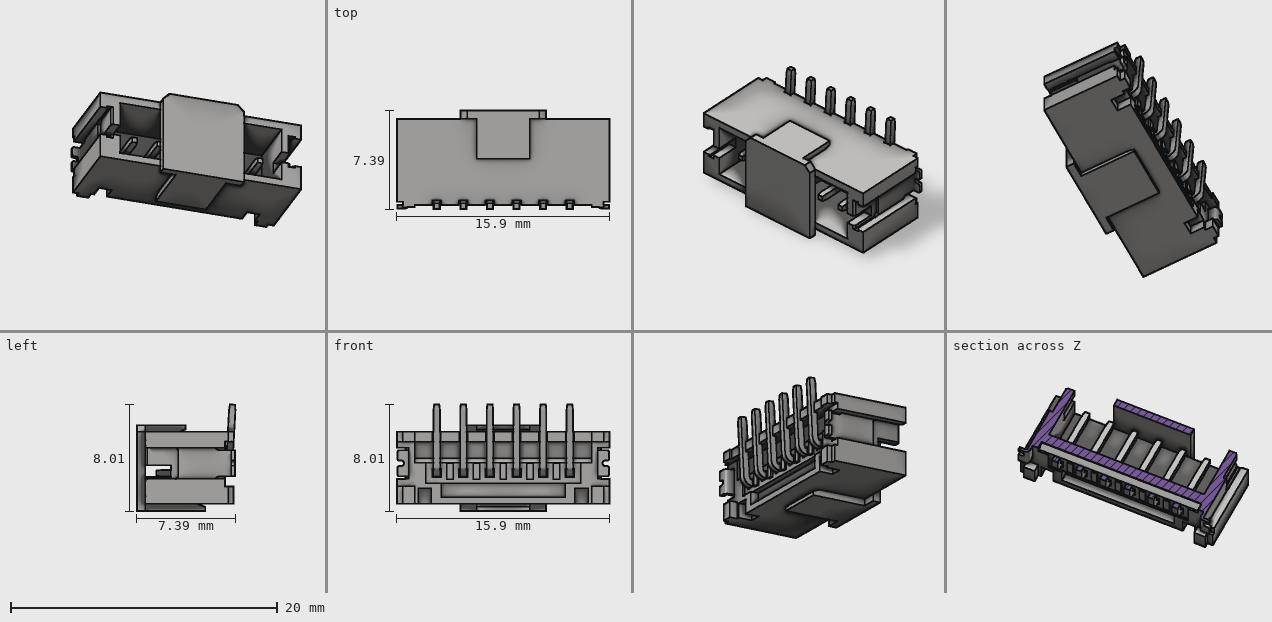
import cadquery as cq
import math


length = 15.95
height = 5.4
half_length = length / 2
front_y = -5.97
end_step_y = -6.2
lip_y = -6.46
block_y = -6.6
lip_bottom = 4.67
foot_top = 1.3
block_outer_x = 7.53
block_inner_x = 6.62

cavity_half_length = 6.41
cavity_depth = 4.47
cavity_bottom = 0.56
cavity_top = 4.78

channel_floor_x = 7.1
channel_bottom = 1.88
channel_top = 4.2
channel_lead_in = 0.15
groove_depth = 0.15
groove_bottom = channel_bottom - groove_depth
groove_top = channel_top + groove_depth
window_depth = 1.9
window_bottom = 2.03
window_top = 2.89

upper_recess_depth = 0.6
lower_recess_depth = 0.67
upper_recess_bottom = 3.08
upper_recess_ramp_top = 3.41
panel_half_length = 5.8
panel_bottom = 1.55
panel_depth = 0.16
lower_recess_half_length = 4.65
lower_recess_bottom = 0.5
notch_inner_x = 5.38
notch_outer_x = 6.38
notch_height = 1.16
notch_depth = 1.12
rib_width = 0.48
rib_bottom = 1.83
rib_top = 3.03
rib_depth = 0.15

pin_count = 6
pitch = 2.0
pin_size = 0.5
pin_axis_z = 2.3
pin_rear_y = -1.2
pin_tilt = math.radians(3.1)
pin_bend_radius = 0.48
leg_end_z = 7.05
leg_front_y = -6.75
leg_end_y = leg_front_y + pin_size / 2 * math.cos(pin_tilt)
tip_length = 0.4
tip_inset = 0.05
pocket_width = 0.67
pocket_bottom = 1.98
pocket_top = 2.63
pocket_depth = 0.24
relief_width = 0.64
relief_y = -6.11
relief_round = 0.11

cap_half_length = 3.2
cap_thickness = 0.64
cap_top = 5.9
cap_bottom = -0.55
cap_chamfer = cap_top - height
tongue_half_length = 2.0
tongue_end_thickness = 0.32
upper_tongue_end = -3.0
upper_ramp_start = -2.57
lower_tongue_end = -4.48
lower_ramp_start = -3.89

clip_thickness = 0.27
clip_inner_x = 7.07
clip_outer_x = clip_inner_x + clip_thickness
clip_rear_y = -2.45
clip_shoulder_y = -5.22
clip_neck_bottom = 2.05
clip_rear_barb = 0.29
clip_front_y = -6.71
clip_foot_x = 7.93
clip_inner_radius = 0.06
clip_corner_radius = 0.15
clip_notch_depth = 0.48
clip_notch_width = 0.4

pin_positions = [(i - (pin_count - 1) / 2) * pitch for i in range(pin_count)]
rib_positions = [x + pitch / 2 for x in pin_positions[:-1]]


def box(x0, x1, y0, y1, z0, z1):
    return cq.Workplane("XY").box(x1 - x0, y1 - y0, z1 - z0, centered=False).translate((x0, y0, z0))


def row_box(half_width, y0, y1, z0, z1):
    return box(-half_width, half_width, y0, y1, z0, z1)


def side_profile(points, half_width):
    """Prism with a (Y, Z) outline, centred on X = 0."""
    return cq.Workplane("YZ").polyline(points).close().extrude(half_width, both=True)


def plan_profile(points, z0, z1):
    """Prism with an (X, Y) outline between two heights."""
    return cq.Workplane("XY", origin=(0, 0, z0)).polyline(points).close().extrude(z1 - z0)


def both_ends(shape):
    return shape.union(shape.mirror("YZ"))


def housing_blank():
    body = row_box(half_length, front_y, 0, 0, height)
    body = body.union(row_box(block_inner_x, lip_y, front_y, lip_bottom, height))
    for z0, z1 in ((lip_bottom, height), (0, foot_top)):
        block = box(block_inner_x, block_outer_x, block_y, front_y, z0, z1)
        end_step = box(block_outer_x, half_length, end_step_y, front_y, z0, z1)
        body = body.union(both_ends(block.union(end_step)))
    return body


def side_channel():
    """Channel along the +X end with its clip grooves; both flare at the mating face."""
    lead_in_x = channel_floor_x - channel_lead_in
    channel_outline = [
        (half_length, front_y),
        (channel_floor_x, front_y),
        (channel_floor_x, -channel_lead_in),
        (lead_in_x, 0),
        (half_length, 0),
    ]
    groove_outline = [
        (clip_outer_x, clip_shoulder_y),
        (channel_floor_x, clip_shoulder_y),
        (channel_floor_x, -channel_lead_in),
        (lead_in_x, 0),
        (clip_outer_x + channel_lead_in, 0),
        (clip_outer_x, -channel_lead_in),
    ]
    channel = plan_profile(channel_outline, channel_bottom, channel_top)
    return channel.union(plan_profile(groove_outline, groove_bottom, groove_top))


def front_recesses():
    upper_back_y = front_y + upper_recess_depth
    lower_back_y = front_y + lower_recess_depth
    panel_y = front_y + panel_depth
    upper = side_profile(
        [
            (front_y, upper_recess_bottom),
            (front_y, lip_bottom),
            (upper_back_y, lip_bottom),
            (upper_back_y, upper_recess_ramp_top),
            (panel_y, upper_recess_bottom),
        ],
        block_inner_x,
    )
    panel = row_box(panel_half_length, front_y, panel_y, panel_bottom, upper_recess_bottom)
    lower = row_box(lower_recess_half_length, front_y, lower_back_y, lower_recess_bottom, panel_bottom)
    notch = box(notch_inner_x, notch_outer_x, front_y, front_y + notch_depth, 0, notch_height)
    return upper.union(panel).union(lower).union(both_ends(notch))


def pin_relief(x):
    """Slot through the upper lip whose front corners are rounded outwards."""
    half_slot = relief_width / 2
    half_mouth = half_slot + relief_round
    round_start_y = lip_y + relief_round
    mid = relief_round * (1 - math.sqrt(0.5))
    return (
        cq.Workplane("XY", origin=(x, 0, lip_bottom))
        .moveTo(-half_slot, relief_y)
        .lineTo(half_slot, relief_y)
        .lineTo(half_slot, round_start_y)
        .threePointArc((half_slot + mid, lip_y + mid), (half_mouth, lip_y))
        .lineTo(-half_mouth, lip_y)
        .threePointArc((-half_slot - mid, lip_y + mid), (-half_slot, round_start_y))
        .close()
        .extrude(height - lip_bottom)
    )


def housing():
    body = housing_blank()
    body = body.cut(row_box(cavity_half_length, -cavity_depth, 0, cavity_bottom, cavity_top))
    body = body.cut(both_ends(side_channel()))
    body = body.cut(row_box(half_length, -window_depth, 0, window_bottom, window_top))
    body = body.cut(front_recesses())
    panel_y = front_y + panel_depth
    for x in rib_positions:
        left = x - rib_width / 2
        body = body.union(box(left, left + rib_width, panel_y - rib_depth, panel_y, rib_bottom, rib_top))
    for x in pin_positions:
        left = x - pocket_width / 2
        pocket = box(left, left + pocket_width, panel_y, panel_y + pocket_depth, pocket_bottom, pocket_top)
        body = body.cut(pocket).cut(pin_relief(x))
    return body


def cap():
    plate = row_box(cap_half_length, 0, cap_thickness, cap_bottom, cap_top)
    plate = plate.edges("|Y and >Z").chamfer(cap_chamfer)
    upper_tongue = side_profile(
        [
            (0, height),
            (0, cap_top),
            (upper_tongue_end, cap_top),
            (upper_tongue_end, cap_top - tongue_end_thickness),
            (upper_ramp_start, height),
        ],
        tongue_half_length,
    )
    lower_tongue = side_profile(
        [
            (0, 0),
            (0, cap_bottom),
            (lower_tongue_end, cap_bottom),
            (lower_tongue_end, cap_bottom + tongue_end_thickness),
            (lower_ramp_start, 0),
        ],
        tongue_half_length,
    )
    return plate.union(upper_tongue).union(lower_tongue)


def pin_tip(y, z, direction_y, direction_z):
    """Tapered end that continues a pin from (y, z) along the given direction."""
    base = cq.Plane(origin=(0, y, z), xDir=(1, 0, 0), normal=(0, direction_y, direction_z))
    taper = math.degrees(math.atan(tip_inset / tip_length))
    return cq.Workplane(base).rect(pin_size, pin_size).extrude(tip_length, taper=taper)


def pin():
    """Square pin at X = 0: level through the wall, then bent upwards."""
    bend_z = pin_axis_z + pin_bend_radius
    bend_end_z = bend_z - pin_bend_radius * math.sin(pin_tilt)
    bend_end_y = leg_end_y + (leg_end_z - bend_end_z) * math.tan(pin_tilt)
    bend_y = bend_end_y + pin_bend_radius * math.cos(pin_tilt)
    half_turn = (math.pi / 2 - pin_tilt) / 2
    bend_middle = (
        bend_y - pin_bend_radius * math.sin(half_turn),
        bend_z - pin_bend_radius * math.cos(half_turn),
    )
    axis = (
        cq.Workplane("YZ")
        .moveTo(pin_rear_y, pin_axis_z)
        .lineTo(bend_y, pin_axis_z)
        .threePointArc(bend_middle, (bend_end_y, bend_end_z))
        .lineTo(leg_end_y, leg_end_z)
    )
    shank = cq.Workplane("XZ", origin=(0, pin_rear_y, pin_axis_z)).rect(pin_size, pin_size).sweep(axis)
    rear_tip = pin_tip(pin_rear_y, pin_axis_z, 1, 0)
    top_tip = pin_tip(leg_end_y, leg_end_z, -math.sin(pin_tilt), math.cos(pin_tilt))
    return shank.union(rear_tip).union(top_tip)


def clip():
    """Sheet-metal clip at the +X end: a plate in the channel with its front edge bent outwards."""
    foot_rear_y = clip_front_y + clip_thickness
    barb_tip_y = clip_rear_y + clip_rear_barb
    bent_strip = [
        (clip_inner_x, barb_tip_y),
        (clip_inner_x, clip_front_y),
        (clip_foot_x, clip_front_y),
        (clip_foot_x, foot_rear_y),
        (clip_outer_x, foot_rear_y),
        (clip_outer_x, barb_tip_y),
    ]
    sheet = plan_profile(bent_strip, groove_bottom, groove_top)
    inner_bend = cq.selectors.NearestToPointSelector((clip_outer_x, foot_rear_y, groove_bottom))
    sheet = sheet.edges("|Z").edges(inner_bend).fillet(clip_inner_radius)
    sheet = sheet.edges("|Z and <X and <Y").fillet(clip_inner_radius + clip_thickness)

    middle_z = (channel_bottom + channel_top) / 2
    neck_top = 2 * middle_z - clip_neck_bottom
    hollow = clip_neck_bottom - groove_bottom
    neck_y = clip_shoulder_y - hollow
    hollow_mid = hollow * math.sqrt(0.5)
    outline = (
        cq.Workplane("YZ")
        .moveTo(clip_front_y, clip_neck_bottom)
        .lineTo(neck_y, clip_neck_bottom)
        .threePointArc((neck_y + hollow_mid, groove_bottom + hollow_mid), (clip_shoulder_y, groove_bottom))
        .lineTo(barb_tip_y, groove_bottom)
        .lineTo(clip_rear_y, groove_bottom + clip_rear_barb)
        .lineTo(clip_rear_y, groove_top - clip_rear_barb)
        .lineTo(barb_tip_y, groove_top)
        .lineTo(clip_shoulder_y, groove_top)
        .threePointArc((neck_y + hollow_mid, groove_top - hollow_mid), (neck_y, neck_top))
        .lineTo(clip_front_y, neck_top)
        .close()
        .extrude(half_length)
    )
    sheet = sheet.intersect(outline)

    notch = (
        cq.Workplane("XZ", origin=(clip_foot_x, clip_front_y, middle_z))
        .slot2D(2 * clip_notch_depth, clip_notch_width)
        .extrude(-clip_thickness)
    )
    sheet = sheet.cut(notch)
    return sheet.faces(">X").edges("|Y").fillet(clip_corner_radius)


result = housing().union(cap()).union(both_ends(clip()))
single_pin = pin()
for pin_x in pin_positions:
    result = result.union(single_pin.translate((pin_x, 0, 0)))